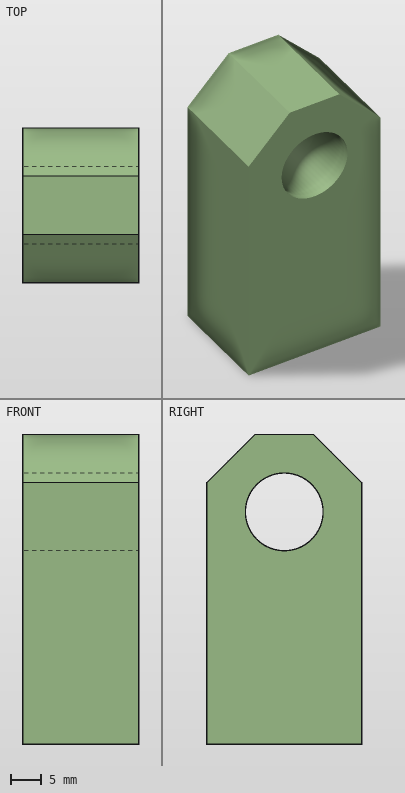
import cadquery as cq

thickness = 19.05
width = 25.4
height = 50.8

corner_cut = 7.9

hole_diameter = width / 2
hole_height = height - width / 2

block = cq.Workplane("XY").box(thickness, width, height, centered=(True, True, False))

block = block.faces(">Z").edges("|X").chamfer(corner_cut)

hole = (
    cq.Workplane("YZ")
    .center(0, hole_height)
    .circle(hole_diameter / 2)
    .extrude(thickness / 2, both=True)
)

result = block.cut(hole)